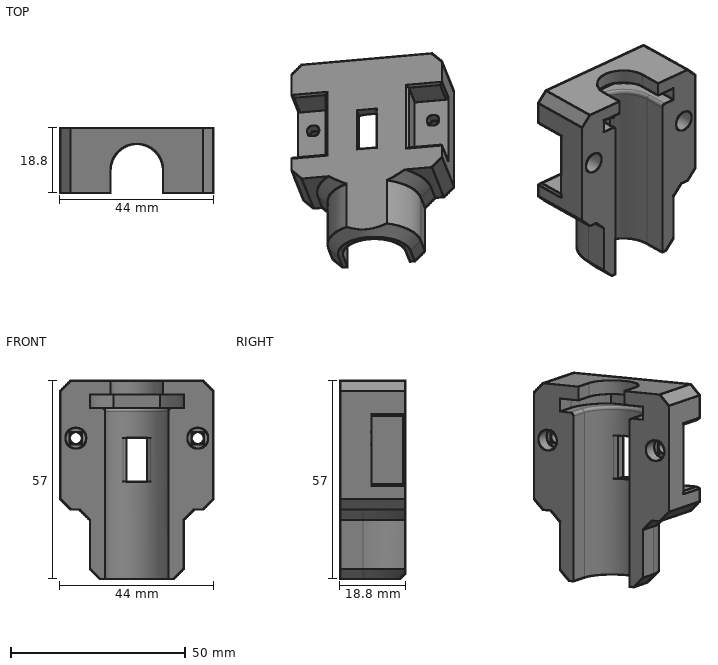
import cadquery as cq
import math


total_height = 57.0
body_width = 44.0
body_height = 37.0
body_depth = 18.77
edge_chamfer = 3.0
axis_to_front = 6.6
front_y = -axis_to_front
back_y = front_y + body_depth
body_bottom_z = total_height - body_height

barrel_radius = 13.5

bore_radius = 9.1
rim_fillet = 1.0
top_opening_radius = 7.5
top_lip_height = 4.0
groove_height = 3.8
groove_radius = barrel_radius
groove_back_wall = 0.45
groove_floor_z = total_height - top_lip_height - groove_height

screw_spacing = 35.0
screw_z = 40.5
screw_hole_diameter = 3.5
screw_head_diameter = 6.0
screw_head_depth = 5.0
bridge_layer = 0.2

notch_bottom_z = 27.4
notch_height = 19.4
notch_front_y = front_y + 8.95
notch_chamfer = 0.65
back_wall = back_y - bore_radius
core_half_width = bore_radius + back_wall

window_width = 5.8
window_mouth_width = 7.9
window_bottom_z = 28.0
window_height = 12.6
window_flare_angle = 30.0


def centred_box(width, y_start, y_end, z_start, height):
    """Box centred on X between two Y planes, rising from z_start."""
    corner_plane = cq.Workplane("XY", origin=(0, y_start, z_start))
    return corner_plane.box(width, y_end - y_start, height, centered=(True, False, False))


def make_body():
    """Upper block with its four side edges chamfered."""
    block = centred_box(body_width, front_y, back_y, body_bottom_z, body_height)
    return block.edges("|Y").chamfer(edge_chamfer)


def channel(radius, z, height):
    """Round-backed channel open towards -Y."""
    return (
        cq.Workplane("XY", origin=(0, 0, z))
        .moveTo(-radius, front_y)
        .lineTo(-radius, 0)
        .threePointArc((0, radius), (radius, 0))
        .lineTo(radius, front_y)
        .close()
        .extrude(height)
    )


def make_barrel():
    """Lower barrel, chamfered at its end and flared into the block."""
    flare_radius = barrel_radius + edge_chamfer
    right_side = [
        (barrel_radius - edge_chamfer, 0),
        (barrel_radius, edge_chamfer),
        (barrel_radius, body_bottom_z - edge_chamfer),
        (flare_radius, body_bottom_z),
    ]
    left_side = [(-x, z) for x, z in reversed(right_side)]
    half_section = [(0, 0)] + right_side + [(0, body_bottom_z)]

    turned = cq.Workplane("XZ").polyline(half_section).close().revolve(360, (0, 0), (0, 1))
    depth_limit = centred_box(body_width, 0, back_y, 0, body_bottom_z)
    front_part = cq.Workplane("XZ").polyline(right_side + left_side).close().extrude(axis_to_front)
    return turned.intersect(depth_limit).union(front_part)


def make_rim_cutter():
    """Flare that rounds the top of the bore with a convex arc below the groove."""
    arc_bottom_z = groove_floor_z - rim_fillet
    arc_middle_offset = rim_fillet * math.sqrt(0.5)
    arc_middle = (bore_radius + rim_fillet - arc_middle_offset, arc_bottom_z + arc_middle_offset)

    half_section = (
        cq.Workplane("XZ")
        .moveTo(0, arc_bottom_z)
        .lineTo(bore_radius, arc_bottom_z)
        .threePointArc(arc_middle, (bore_radius + rim_fillet, groove_floor_z))
        .lineTo(0, groove_floor_z)
        .close()
        .val()
    )
    round_part = cq.Workplane("XZ").add(half_section).toPending().revolve(360, (0, 0), (0, 1))
    straight_part = cq.Workplane("XZ").add(half_section).toPending().extrude(axis_to_front)
    return round_part.union(straight_part).union(straight_part.mirror("YZ"))


def make_groove():
    """Flange groove, flattened at the back to keep a thin wall."""
    groove = channel(groove_radius, groove_floor_z, groove_height)
    limit = centred_box(body_width, front_y, back_y - groove_back_wall, groove_floor_z, groove_height)
    return groove.intersect(limit)


def make_screw_hole(x):
    """Through hole with a head recess and two bridging steps at its floor."""

    def plane_at(depth):
        return cq.Workplane("XZ", origin=(x, front_y + depth, screw_z))

    slot_depth = screw_head_depth + bridge_layer
    square_depth = slot_depth + bridge_layer
    hole = plane_at(0).circle(screw_hole_diameter / 2).extrude(-body_depth)
    square = plane_at(0).rect(screw_hole_diameter, screw_hole_diameter).extrude(-square_depth)
    slot = plane_at(0).rect(screw_hole_diameter, screw_head_diameter).extrude(-slot_depth)
    slot = slot.intersect(plane_at(0).circle(screw_head_diameter / 2).extrude(-slot_depth))
    head = plane_at(0).circle(screw_head_diameter / 2).extrude(-screw_head_depth)
    return hole.union(square).union(slot).union(head)


def make_notch(side):
    """Rear side notch whose mouths on the side and back faces are chamfered."""
    half_width = body_width / 2
    notch_top_z = notch_bottom_z + notch_height
    section = [
        (core_half_width, notch_bottom_z),
        (half_width - notch_chamfer, notch_bottom_z),
        (half_width, notch_bottom_z - notch_chamfer),
        (half_width, notch_top_z + notch_chamfer),
        (half_width - notch_chamfer, notch_top_z),
        (core_half_width, notch_top_z),
    ]
    pocket = (
        cq.Workplane("XZ", origin=(0, notch_front_y, 0))
        .polyline([(side * x, z) for x, z in section])
        .close()
        .extrude(-(back_y - notch_front_y))
    )
    mouth_inner_x = core_half_width - notch_chamfer
    mouth_outer_x = half_width + notch_chamfer
    mouth_centre = (side * (mouth_inner_x + mouth_outer_x) / 2, back_y, (notch_bottom_z + notch_top_z) / 2)
    back_mouth = (
        cq.Workplane("XZ", origin=mouth_centre)
        .rect(mouth_outer_x - mouth_inner_x, notch_height + 2 * notch_chamfer)
        .extrude(notch_chamfer, taper=45)
    )
    return pocket.union(back_mouth)


def make_window():
    """Window through the back wall, flared where it meets the bore."""
    mouth = window_mouth_width / 2
    throat = window_width / 2
    mouth_y = math.sqrt(bore_radius**2 - mouth**2)
    throat_y = mouth_y + (mouth - throat) * math.tan(math.radians(window_flare_angle))
    outline = [
        (-mouth, 0),
        (-mouth, mouth_y),
        (-throat, throat_y),
        (-throat, back_y),
        (throat, back_y),
        (throat, throat_y),
        (mouth, mouth_y),
        (mouth, 0),
    ]
    return cq.Workplane("XY", origin=(0, 0, window_bottom_z)).polyline(outline).close().extrude(window_height)


result = make_body().union(make_barrel())
result = result.cut(channel(bore_radius, 0, groove_floor_z))
result = result.cut(make_rim_cutter())
result = result.cut(make_groove())
result = result.cut(channel(top_opening_radius, total_height - top_lip_height, top_lip_height))
for side in (-1, 1):
    result = result.cut(make_screw_hole(side * screw_spacing / 2))
    result = result.cut(make_notch(side))
result = result.cut(make_window())